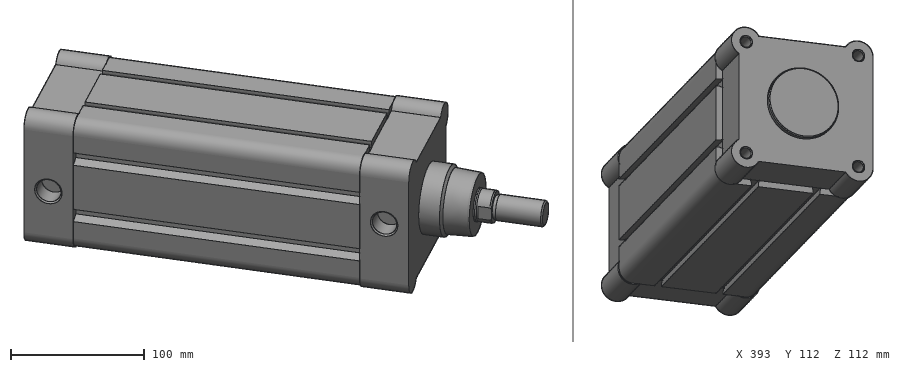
import cadquery as cq

cap_start = 4.0
cap_length = 38.0
barrel_length = 222.0
cap_width = 112.0
recess_depth = 6.0
screw_offset = 44.5

barrel_half_width = 55.0
groove_offset = 24.5

dovetail_opening = 5.5
dovetail_floor = 7.5
dovetail_depth = 6.0
dovetail_lip = 2.5
sensor_opening = 10.5
sensor_floor = 5.0
sensor_depth = 7.0

screw_hole_diameter = 8.3
screw_chamfer = 0.8
port_diameter = 19.0
port_depth = 15.7
port_chamfer = 1.0
port_height = 6.0

collar_diameter = 55.5
spigot_chamfer = 0.8
collar_length = 18.0
collar_chamfer = 2.0
nose_root_diameter = 50.7
nose_tip_diameter = 48.7
nose_length = 20.0
nose_tip_chamfer_length = 1.5
nose_tip_chamfer_height = 0.5

rod_diameter = 26.0
shank_diameter = 25.0
shank_start_x = 341.5
shank_taper = 1.0
rod_shoulder_x = 354.0
shank_chamfer_length = 1.0
shank_chamfer_height = 0.5
wrench_start_x = 344.0
wrench_flat_width = 22.8
neck_diameter = 18.0
thread_diameter = 20.0
thread_lead_in = 2.8
thread_chamfer = 1.0
overall_length = 393.0

cap_half_width = cap_width / 2
recess_half_width = cap_half_width - recess_depth
barrel_start = cap_start + cap_length
barrel_end = barrel_start + barrel_length
front_face = barrel_end + cap_length
collar_end = front_face + collar_length
nose_end = collar_end + nose_length
corner_radius = cap_half_width - screw_offset
barrel_corner_radius = barrel_half_width - screw_offset
SIGNS = (-1, 1)
CORNERS = [(y * screw_offset, z * screw_offset) for y in SIGNS for z in SIGNS]


def yz_plane(x):
    """Section plane at X = x, with local axes along Y and Z."""
    return cq.Workplane("YZ", origin=(x, 0, 0))


def cone_cut(plane, hole_diameter, chamfer):
    """Cone that chamfers a hole's mouth; the plane's normal points into the hole."""
    radius = hole_diameter / 2
    return cq.Workplane(cq.Solid.makeCone(radius + chamfer, radius, chamfer, plane.origin, plane.zDir))


def cap_block(x, port_z):
    """Square cap with four round corner lugs, recessed on +Y, +Z and -Z, and a port on -Y."""
    core_depth = screw_offset + recess_half_width
    core = (
        yz_plane(x)
        .center((recess_half_width - screw_offset) / 2, 0)
        .rect(core_depth, 2 * recess_half_width)
        .extrude(cap_length)
    )
    port_side = (
        yz_plane(x)
        .center(-cap_half_width / 2, 0)
        .rect(cap_half_width, 2 * screw_offset)
        .extrude(cap_length)
    )
    lugs = yz_plane(x).pushPoints(CORNERS).circle(corner_radius).extrude(cap_length)
    block = core.union(port_side).union(lugs)
    port = (
        cq.Workplane("XZ", origin=(x + cap_length / 2, -cap_half_width, port_z))
        .circle(port_diameter / 2)
        .extrude(-port_depth)
    )
    mouth_plane = cq.Plane((x + cap_length / 2, -cap_half_width, port_z), (1, 0, 0), (0, 1, 0))
    return block.cut(port).cut(cone_cut(mouth_plane, port_diameter, port_chamfer))


def drill_screw_holes(cap, x):
    """Four screw holes through a cap, chamfered at its rear face."""
    cap = cap.cut(yz_plane(x).pushPoints(CORNERS).circle(screw_hole_diameter / 2).extrude(cap_length))
    for y, z in CORNERS:
        mouth = cq.Plane((x, y, z), (0, 1, 0), (1, 0, 0))
        cap = cap.cut(cone_cut(mouth, screw_hole_diameter, screw_chamfer))
    return cap


def make_rear_cap():
    """Rear cap with its short round spigot."""
    cap = drill_screw_holes(cap_block(cap_start, -port_height), cap_start)
    spigot = yz_plane(0).circle(collar_diameter / 2).extrude(cap_start).faces("<X").chamfer(spigot_chamfer)
    return cap.union(spigot)


def make_front_cap():
    """Front cap with its collar, tapered nose and rod bore."""
    collar_radius = collar_diameter / 2
    root_radius = nose_root_diameter / 2
    tip_radius = nose_tip_diameter / 2
    nose = (
        cq.Workplane("XZ")
        .moveTo(front_face, 0)
        .lineTo(front_face, collar_radius)
        .lineTo(collar_end - collar_chamfer, collar_radius)
        .lineTo(collar_end, root_radius)
        .lineTo(nose_end - nose_tip_chamfer_length, tip_radius)
        .lineTo(nose_end, tip_radius - nose_tip_chamfer_height)
        .lineTo(nose_end, 0)
        .close()
        .revolve(360, (0, 0, 0), (1, 0, 0))
    )
    bore = yz_plane(barrel_end).circle(rod_diameter / 2).extrude(nose_end - barrel_end)
    return cap_block(barrel_end, port_height).union(nose).cut(bore)


def groove(angle, offset, opening, floor, depth, lip=0):
    """Full-length groove on the +Y side, turned about X by the angle.

    It is straight-sided down to the lip depth and tapers from there to its floor.
    """
    face = barrel_half_width
    section = (
        yz_plane(barrel_start)
        .moveTo(face - lip, offset - opening / 2)
        .lineTo(face - depth, offset - floor / 2)
        .lineTo(face - depth, offset + floor / 2)
        .lineTo(face - lip, offset + opening / 2)
        .close()
        .extrude(barrel_length)
    )
    if lip > 0:
        mouth = (
            yz_plane(barrel_start)
            .center(face - lip / 2, offset)
            .rect(lip, opening)
            .extrude(barrel_length)
        )
        section = section.union(mouth)
    return section.rotate((0, 0, 0), (1, 0, 0), angle)


def make_barrel():
    """Rounded square profile: dovetail grooves on +Y, +Z and -Z, tapered grooves on -Y."""
    barrel = (
        yz_plane(barrel_start)
        .rect(2 * barrel_half_width, 2 * barrel_half_width)
        .extrude(barrel_length)
        .edges("|X")
        .fillet(barrel_corner_radius)
    )
    for sign in SIGNS:
        offset = sign * groove_offset
        for angle in (0, 90, 270):
            barrel = barrel.cut(
                groove(angle, offset, dovetail_opening, dovetail_floor, dovetail_depth, dovetail_lip)
            )
        barrel = barrel.cut(groove(180, offset, sensor_opening, sensor_floor, sensor_depth))
    return barrel


def make_rod():
    """Piston rod from the barrel's end face: shank with wrench flats, neck and threaded end."""
    rod_radius = rod_diameter / 2
    shank_radius = shank_diameter / 2
    thread_radius = thread_diameter / 2
    rod = (
        cq.Workplane("XY")
        .moveTo(barrel_end, 0)
        .lineTo(barrel_end, -rod_radius)
        .lineTo(shank_start_x, -rod_radius)
        .lineTo(shank_start_x + shank_taper, -shank_radius)
        .lineTo(rod_shoulder_x - shank_chamfer_length, -shank_radius)
        .lineTo(rod_shoulder_x, -shank_radius + shank_chamfer_height)
        .lineTo(rod_shoulder_x, -neck_diameter / 2)
        .lineTo(rod_shoulder_x + thread_lead_in, -thread_radius)
        .lineTo(overall_length - thread_chamfer, -thread_radius)
        .lineTo(overall_length, -thread_radius + thread_chamfer)
        .lineTo(overall_length, 0)
        .close()
        .revolve(360, (0, 0, 0), (1, 0, 0))
    )
    flat_length = rod_shoulder_x - wrench_start_x
    for sign in SIGNS:
        flat = (
            yz_plane(wrench_start_x)
            .center(sign * (wrench_flat_width + rod_diameter) / 2, 0)
            .rect(rod_diameter, 2 * rod_diameter)
            .extrude(flat_length)
        )
        rod = rod.cut(flat)
    return rod


rear_cap = make_rear_cap()
barrel = make_barrel()
front_cap = make_front_cap()
rod = make_rod()

result = cq.Compound.makeCompound([rear_cap.val(), barrel.val(), front_cap.val(), rod.val()])